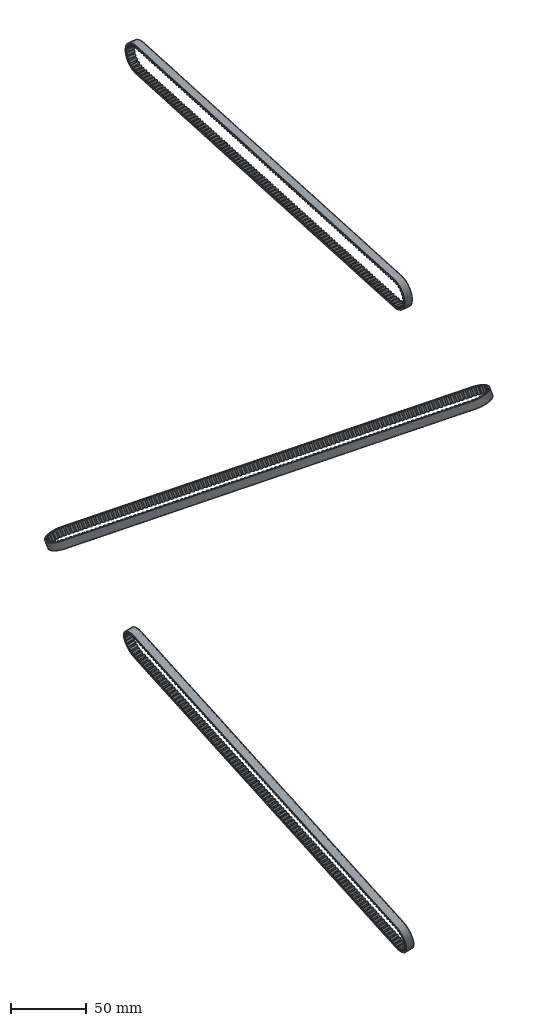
import cadquery as cq
import math

overall_length = 312.5
tooth_pitch = 3.0
pitches_per_run = 96
pitches_per_end = 12

belt_width = 2 * tooth_pitch
backing_thickness = 1.2
tooth_height = 1.2
tooth_width = 1.78

run_length = pitches_per_run * tooth_pitch
half_run = run_length / 2
outer_radius = (overall_length - run_length) / 2
inner_radius = outer_radius - backing_thickness
end_step = math.pi / pitches_per_end

tip_radius = tooth_width / 2
shoulder_height = tooth_height - tip_radius

straight_foot = 0
curved_foot = inner_radius - math.sqrt(inner_radius**2 - tip_radius**2)


def inner_point(center_x, angle, across, inward):
    """Point offset along and inward from the inner face where its outward normal has the given angle."""
    radius = inner_radius - inward
    x = center_x + radius * math.cos(angle) - across * math.sin(angle)
    z = radius * math.sin(angle) + across * math.cos(angle)
    return x, z


def add_tooth(outline, center_x, angle, end_foot):
    """Trace one tooth from the foot of its first flank to the foot of its second."""
    return (
        outline.lineTo(*inner_point(center_x, angle, -tip_radius, shoulder_height))
        .threePointArc(
            inner_point(center_x, angle, 0, tooth_height),
            inner_point(center_x, angle, tip_radius, shoulder_height),
        )
        .lineTo(*inner_point(center_x, angle, tip_radius, end_foot))
    )


def add_end(outline, center_x, start_angle):
    """Trace the teeth of a half-round end, each followed by a curved gap."""
    for step in range(pitches_per_end):
        angle = start_angle + step * end_step
        outline = add_tooth(outline, center_x, angle, curved_foot).threePointArc(
            inner_point(center_x, angle + end_step / 2, 0, 0),
            inner_point(center_x, angle + end_step, -tip_radius, curved_foot),
        )
    return outline


def add_run(outline, start_x, advance, angle):
    """Trace the teeth of a straight run, each followed by a flat gap."""
    for step in range(pitches_per_run):
        x = start_x + step * advance
        next_foot = inner_point(x + advance, angle, -tip_radius, straight_foot)
        outline = add_tooth(outline, x, angle, straight_foot).lineTo(*next_foot)
    return outline


def toothed_opening():
    """Opening inside the loop, traced counter-clockwise from the right end of the lower run."""
    up = math.pi / 2
    down = -up
    start = inner_point(half_run, down, -tip_radius, straight_foot)
    outline = cq.Workplane("XZ").moveTo(*start)
    outline = add_end(outline, half_run, down)
    outline = add_run(outline, half_run, -tooth_pitch, up)
    outline = add_end(outline, -half_run, up)
    outline = add_run(outline, -half_run, tooth_pitch, down)
    return outline.close().extrude(belt_width / 2, both=True)


loop_blank = cq.Workplane("XZ").slot2D(overall_length, 2 * outer_radius).extrude(belt_width / 2, both=True)
result = loop_blank.cut(toothed_opening())